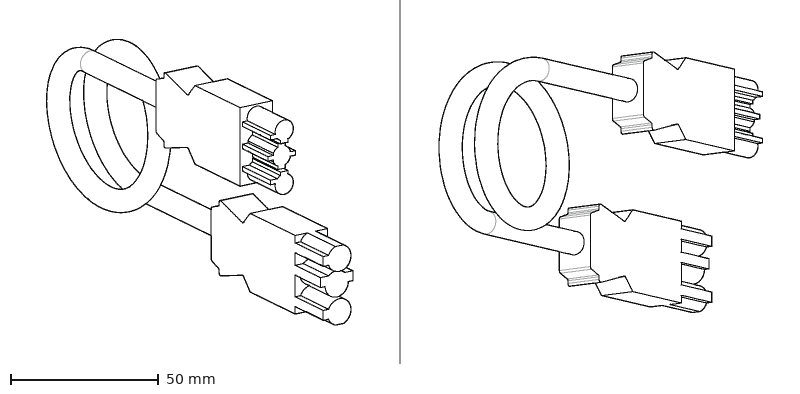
import cadquery as cq
import math

LENGTH = 148.0
CONNECTOR_PITCH_Y = 22.3
CONNECTOR_PITCH_Z = 49.9

CABLE_DIAMETER = 8.0
CABLE_END_PITCH_Z = 50.2
LOOP_RADIUS = CABLE_END_PITCH_Z / 2
LOOP_TURNS = 1.5
CABLE_END_PITCH_Y = 22.5
LOOP_CENTER_X = LOOP_RADIUS + CABLE_DIAMETER / 2

CONTACT_LENGTH = 17.2
MIDDLE_CONTACT_LENGTH = 15.5
BODY_LENGTH = 51.7
BODY_WIDTH = 13.2
BODY_HEIGHT = 28.1
BODY_FRONT_X = LENGTH - CONTACT_LENGTH
BODY_REAR_X = BODY_FRONT_X - BODY_LENGTH

REAR_HALF_HEIGHT = 9.5
STEP_X = 4.9
STEP_HALF_HEIGHT = 11.2
LIP_HALF_HEIGHT = 13.8
WAIST_X = 19.5
WAIST_HALF_HEIGHT = 9.3
SHOULDER_X = 24.0
OUTER_ROUNDING = 0.9
INNER_ROUNDING = 0.6

CONTACT_PITCH = 9.6
KEY_OFFSET = 1.6

SLEEVE_RADIUS = 4.7
SLEEVE_KEY_THICKNESS = 3.5

PIN_RADIUS = 3.7
PIN_KEY_THICKNESS = 1.6
PIN_KEY_REACH = 5.6
RIB_WIDTH = 3.1
RIB_REACH = 4.6


def straight_cable(start_x, end_x, y, z):
    """Round cable stretch along X."""
    plane = cq.Plane(origin=(start_x, y, z), xDir=(0, 1, 0), normal=(1, 0, 0))
    return cq.Workplane(plane).circle(CABLE_DIAMETER / 2).extrude(end_x - start_x)


def make_cable():
    """Helical loop around Y with a straight tail at each end."""
    end_y = CABLE_END_PITCH_Y / 2
    helix = cq.Wire.makeHelix(
        CABLE_END_PITCH_Y / LOOP_TURNS, CABLE_END_PITCH_Y, LOOP_RADIUS, lefthand=True
    )
    loop_start = cq.Plane(origin=(LOOP_CENTER_X, -end_y, 0), xDir=(0, 0, 1), normal=(0, 1, 0))
    path = cq.Workplane(helix.moved(cq.Location(loop_start)))
    section = cq.Plane(origin=(LOOP_CENTER_X, -end_y, LOOP_RADIUS), xDir=(0, 1, 0), normal=(1, 0, 0))
    cable = cq.Workplane(section).circle(CABLE_DIAMETER / 2).sweep(path, isFrenet=True)
    for side in (-1, 1):
        tail = straight_cable(LOOP_CENTER_X, BODY_REAR_X, side * end_y, -side * LOOP_RADIUS)
        cable = cable.union(tail)
    return cable


def make_body():
    """Connector body centred on y = z = 0, with a waisted grip and a lip at its rear."""
    upper_edge = [
        (0, REAR_HALF_HEIGHT),
        (STEP_X, STEP_HALF_HEIGHT),
        (STEP_X, LIP_HALF_HEIGHT),
        (WAIST_X, WAIST_HALF_HEIGHT),
        (SHOULDER_X, BODY_HEIGHT / 2),
        (BODY_LENGTH, BODY_HEIGHT / 2),
    ]
    lower_edge = [(x, -z) for x, z in reversed(upper_edge)]
    body = (
        cq.Workplane("XZ", origin=(BODY_REAR_X, 0, 0))
        .polyline(upper_edge + lower_edge)
        .close()
        .extrude(BODY_WIDTH / 2, both=True)
    )
    rounded_corners = [
        (0, REAR_HALF_HEIGHT, OUTER_ROUNDING),
        (STEP_X, STEP_HALF_HEIGHT, INNER_ROUNDING),
        (STEP_X, LIP_HALF_HEIGHT, OUTER_ROUNDING),
        (WAIST_X, WAIST_HALF_HEIGHT, INNER_ROUNDING),
    ]
    for x, half_height, radius in rounded_corners:
        for side in (-1, 1):
            corner = cq.selectors.NearestToPointSelector((BODY_REAR_X + x, 0, side * half_height))
            body = body.edges("|Y").edges(corner).fillet(radius)
    return body


def round_contact(radius, length, z):
    """Round bar standing on the front face of the body."""
    return cq.Workplane("YZ", origin=(BODY_FRONT_X, 0, 0)).center(0, z).circle(radius).extrude(length)


def bar(length, y_range, z_range):
    """Rectangular bar standing on the front face of the body."""
    width = y_range[1] - y_range[0]
    height = z_range[1] - z_range[0]
    return cq.Workplane("XY").box(length, width, height, centered=False).translate(
        (BODY_FRONT_X, y_range[0], z_range[0])
    )


def key(length, z, thickness, reach, through=False):
    """Key running from a contact's axis to -Y, or across to both sides."""
    far_y = reach if through else 0
    return bar(length, (-reach, far_y), (z - thickness / 2, z + thickness / 2))


def make_socket():
    """Connector with three wide sleeves, trimmed to the outline of the body."""
    socket = make_body()
    reach = BODY_WIDTH / 2
    for side in (-1, 1):
        z = side * CONTACT_PITCH
        socket = socket.union(round_contact(SLEEVE_RADIUS, CONTACT_LENGTH, z))
        socket = socket.union(key(CONTACT_LENGTH, z, SLEEVE_KEY_THICKNESS, reach))
    socket = socket.union(round_contact(SLEEVE_RADIUS, MIDDLE_CONTACT_LENGTH, 0))
    socket = socket.union(
        key(MIDDLE_CONTACT_LENGTH, KEY_OFFSET, SLEEVE_KEY_THICKNESS, reach, through=True)
    )
    envelope = cq.Workplane("XY").box(2 * LENGTH, BODY_WIDTH, BODY_HEIGHT).translate((LENGTH / 2, 0, 0))
    return socket.intersect(envelope)


def make_plug():
    """Connector with three slim pins, each with a key and with ribs facing its neighbours.

    The middle pin has a flat, as wide as a rib, around its -Y key.
    """
    plug = make_body()
    rib_half = RIB_WIDTH / 2
    for side in (-1, 1):
        z = side * CONTACT_PITCH
        key_z = z - side * KEY_OFFSET
        rib_z = sorted((z, z - side * RIB_REACH))
        plug = plug.union(round_contact(PIN_RADIUS, CONTACT_LENGTH, z))
        plug = plug.union(key(CONTACT_LENGTH, key_z, PIN_KEY_THICKNESS, PIN_KEY_REACH))
        plug = plug.union(bar(CONTACT_LENGTH, (-rib_half, rib_half), rib_z))
    middle_pin = round_contact(PIN_RADIUS, MIDDLE_CONTACT_LENGTH, 0)
    flat_y = -math.sqrt(PIN_RADIUS**2 - rib_half**2)
    plug = plug.union(middle_pin.cut(bar(CONTACT_LENGTH, (-PIN_RADIUS, flat_y), (-rib_half, rib_half))))
    plug = plug.union(key(MIDDLE_CONTACT_LENGTH, 0, PIN_KEY_THICKNESS, PIN_KEY_REACH, through=True))
    plug = plug.union(bar(MIDDLE_CONTACT_LENGTH, (-rib_half, rib_half), (-RIB_REACH, RIB_REACH)))
    return plug


cable = make_cable()
plug = make_plug().translate((0, -CONNECTOR_PITCH_Y / 2, CONNECTOR_PITCH_Z / 2))
socket = make_socket().translate((0, CONNECTOR_PITCH_Y / 2, -CONNECTOR_PITCH_Z / 2))

result = cq.Compound.makeCompound([body.solids().val() for body in (cable, plug, socket)])